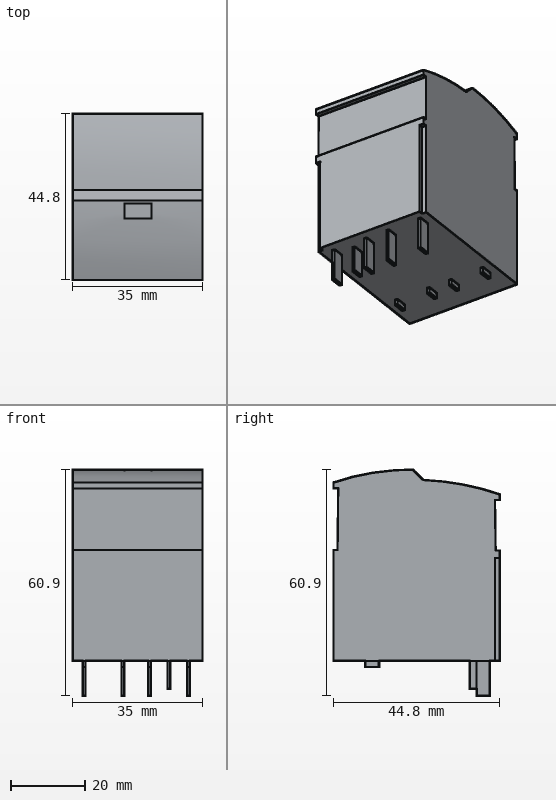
import cadquery as cq
import math

WIDTH = 35.0
DEPTH = 44.8
HEIGHT = 60.85
FRONT_Y = -DEPTH / 2
BACK_Y = DEPTH / 2

HOUSING_BOTTOM = 9.45
FRONT_LEDGE_Z = 39.3
BACK_LEDGE_Z = 39.1
LIP_HEIGHT = 1.6
BAND_INSET_BOTTOM = 1.1
BAND_INSET_TOP = 1.3

FRONT_ROOF_RADIUS = 63.3
FRONT_CREST_Y = -1.8
BACK_ROOF_RADIUS = 71.8
BACK_CREST_Y = -1.05
BACK_CREST_Z = 58.2
RIDGE_Y = -1.05
RIDGE_BEVEL_WIDTH = 0.2
RIDGE_BEVEL_DROP = 0.1
STEP_BOTTOM_Y = 1.8

POCKET_CENTER_X = 0.1
POCKET_WIDTH = 7.2
POCKET_FRONT_Y = -5.8
POCKET_LENGTH = 4.0
POCKET_FLOOR_Z = 58.0

NOTCH_SIZE = 1.3
NOTCH_TOP_Z = 37.05

BLADE_THICKNESS = 0.8
BLADE_WIDTH = 3.6
LONG_BLADE_XS = (-14.35, -3.95, 3.2, 13.6)
LONG_BLADE_Y = 16.1
SHORT_BLADE_X = 8.4
SHORT_BLADE_Y = 14.25
SHORT_BLADE_END_Z = 1.9
TAB_END_Z = 7.8
OUTER_TAB_Y = -13.6
INNER_TAB_Y = -13.8


def front_roof_point(y):
    """Point (y, z) on the front roof arc, which peaks at the overall height."""
    drop = FRONT_ROOF_RADIUS - math.sqrt(FRONT_ROOF_RADIUS**2 - (y - FRONT_CREST_Y) ** 2)
    return (y, HEIGHT - drop)


def back_roof_point(y):
    """Point (y, z) on the back roof arc."""
    drop = BACK_ROOF_RADIUS - math.sqrt(BACK_ROOF_RADIUS**2 - (y - BACK_CREST_Y) ** 2)
    return (y, BACK_CREST_Z - drop)


def make_housing():
    """Side outline in the YZ plane, extruded across the width."""
    front_eave = front_roof_point(FRONT_Y)
    front_middle = front_roof_point((FRONT_Y + RIDGE_Y) / 2)
    ridge = front_roof_point(RIDGE_Y)
    step_bottom = back_roof_point(STEP_BOTTOM_Y)
    back_middle = back_roof_point((STEP_BOTTOM_Y + BACK_Y) / 2)
    back_eave = back_roof_point(BACK_Y)
    front_lip_z = front_eave[1] - LIP_HEIGHT
    back_lip_z = back_eave[1] - LIP_HEIGHT
    return (
        cq.Workplane("YZ", origin=(-WIDTH / 2, 0, 0))
        .moveTo(FRONT_Y, HOUSING_BOTTOM)
        .lineTo(FRONT_Y, FRONT_LEDGE_Z)
        .lineTo(FRONT_Y + BAND_INSET_BOTTOM, FRONT_LEDGE_Z)
        .lineTo(FRONT_Y + BAND_INSET_TOP, front_lip_z)
        .lineTo(FRONT_Y, front_lip_z)
        .lineTo(*front_eave)
        .threePointArc(front_middle, ridge)
        .lineTo(RIDGE_Y + RIDGE_BEVEL_WIDTH, ridge[1] - RIDGE_BEVEL_DROP)
        .lineTo(*step_bottom)
        .threePointArc(back_middle, back_eave)
        .lineTo(BACK_Y, back_lip_z)
        .lineTo(BACK_Y - BAND_INSET_TOP, back_lip_z)
        .lineTo(BACK_Y - BAND_INSET_BOTTOM, BACK_LEDGE_Z)
        .lineTo(BACK_Y, BACK_LEDGE_Z)
        .lineTo(BACK_Y, HOUSING_BOTTOM)
        .close()
        .extrude(WIDTH)
    )


def make_pocket():
    """Cutter for the roof pocket, open at the top."""
    return (
        cq.Workplane("XY", origin=(POCKET_CENTER_X, POCKET_FRONT_Y, POCKET_FLOOR_Z))
        .box(POCKET_WIDTH, POCKET_LENGTH, HEIGHT - POCKET_FLOOR_Z, centered=(True, False, False))
    )


def make_corner_notch(side):
    """Cutter for a lower back corner; side is -1 for -X and +1 for +X."""
    center_x = side * (WIDTH - NOTCH_SIZE) / 2
    return (
        cq.Workplane("XY", origin=(center_x, BACK_Y - NOTCH_SIZE, HOUSING_BOTTOM))
        .box(NOTCH_SIZE, NOTCH_SIZE, NOTCH_TOP_Z - HOUSING_BOTTOM, centered=(True, False, False))
    )


def make_blade(x, front_y, end_z):
    """Flat blade from the housing bottom down to end_z."""
    return (
        cq.Workplane("XY", origin=(x, front_y, end_z))
        .box(BLADE_THICKNESS, BLADE_WIDTH, HOUSING_BOTTOM - end_z, centered=(True, False, False))
    )


result = make_housing().cut(make_pocket())

for side in (-1, 1):
    result = result.cut(make_corner_notch(side))

for x in LONG_BLADE_XS:
    result = result.union(make_blade(x, LONG_BLADE_Y, 0))

result = result.union(make_blade(SHORT_BLADE_X, SHORT_BLADE_Y, SHORT_BLADE_END_Z))

for x in LONG_BLADE_XS:
    tab_y = OUTER_TAB_Y if x == min(LONG_BLADE_XS) else INNER_TAB_Y
    result = result.union(make_blade(x, tab_y, TAB_END_Z))